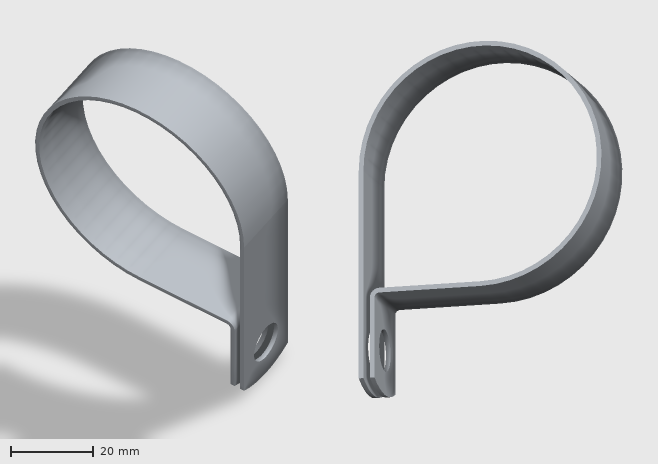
import cadquery as cq

total_height = 84.5
loop_diameter = 61.2
strap_width = 19.0
thickness = 1.2
leg_gap = 1.6
bend_inner_radius = 1.2
hole_diameter = 10.4
hole_height = 11.1
end_arc_rise = 2.2

outer_radius = loop_diameter / 2
inner_radius = outer_radius - thickness
loop_center_z = total_height - outer_radius
shelf_bottom = loop_center_z - outer_radius
shelf_top = shelf_bottom + thickness
short_leg_outer_x = inner_radius - leg_gap
short_leg_inner_x = short_leg_outer_x - thickness
bend_outer_radius = bend_inner_radius + thickness
bend_center_x = short_leg_outer_x - bend_outer_radius
bend_center_z = shelf_top - bend_outer_radius


def strap():
    """Bent strip: long leg, three-quarter loop, flat shelf and short leg."""
    profile = (
        cq.Workplane("XZ")
        .moveTo(outer_radius, 0)
        .lineTo(outer_radius, loop_center_z)
        .tangentArcPoint((-outer_radius, loop_center_z), relative=False)
        .tangentArcPoint((0, shelf_bottom), relative=False)
        .lineTo(bend_center_x, shelf_bottom)
        .tangentArcPoint((short_leg_inner_x, bend_center_z), relative=False)
        .lineTo(short_leg_inner_x, 0)
        .lineTo(short_leg_outer_x, 0)
        .lineTo(short_leg_outer_x, bend_center_z)
        .tangentArcPoint((bend_center_x, shelf_top), relative=False)
        .lineTo(0, shelf_top)
        .tangentArcPoint((-inner_radius, loop_center_z), relative=False)
        .tangentArcPoint((inner_radius, loop_center_z), relative=False)
        .lineTo(inner_radius, 0)
        .close()
    )
    return profile.extrude(strap_width / 2, both=True)


def end_outline():
    """Prism along X whose lower edge is the rounded end of both legs."""
    half_width = strap_width / 2
    return (
        cq.Workplane("YZ")
        .moveTo(-half_width, end_arc_rise)
        .threePointArc((0, 0), (half_width, end_arc_rise))
        .lineTo(half_width, total_height)
        .lineTo(-half_width, total_height)
        .close()
        .extrude(outer_radius, both=True)
    )


def bolt_hole():
    """Cylinder along X through both legs."""
    return (
        cq.Workplane("YZ")
        .center(0, hole_height)
        .circle(hole_diameter / 2)
        .extrude(outer_radius, both=True)
    )


result = strap().intersect(end_outline()).cut(bolt_hole())